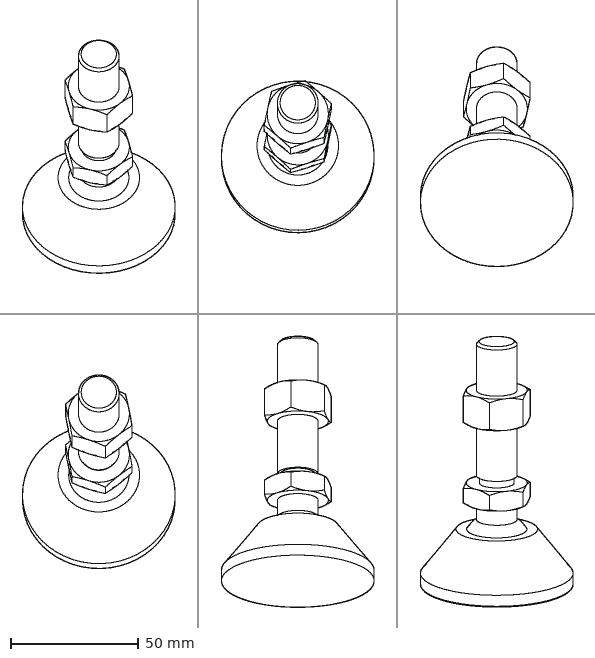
import cadquery as cq
import math

foot_diameter = 60.0
foot_radius = foot_diameter / 2
foot_top_diameter = 32.0
foot_top_z = 23.0
rim_top_z = 5.0
pad_thickness = 0.5

ball_radius = 14.0
rod_diameter = 16.0
neck_bottom_z = 27.0
stud_hex_bottom_z = 34.0
stud_hex_height = 8.0
undercut_diameter = 13.7
rod_bottom_z = 45.0
rod_top_z = 100.0
rod_tip_diameter = 13.84

across_flats = 24.0
hex_chamfer_angle = 30.0
nut_bottom_z = 67.0
nut_height = 13.0

rod_radius = rod_diameter / 2
ball_center_z = neck_bottom_z - math.sqrt(ball_radius**2 - rod_radius**2)


def cylinder(diameter, bottom_z, top_z):
    """Upright cylinder on the Z axis."""
    return cq.Workplane("XY").workplane(offset=bottom_z).circle(diameter / 2).extrude(top_z - bottom_z)


def chamfered_hexagon(bottom_z, height):
    """Hexagonal prism, corners on the Y axis, both ends turned down to a cone."""
    corner_radius = across_flats / math.sqrt(3)
    flat_radius = across_flats / 2
    drop = (corner_radius - flat_radius) * math.tan(math.radians(hex_chamfer_angle))
    prism = (
        cq.Workplane("XY")
        .workplane(offset=bottom_z)
        .transformed(rotate=(0, 0, 90))
        .polygon(6, 2 * corner_radius)
        .extrude(height)
    )
    turned_envelope = (
        cq.Workplane("XZ")
        .moveTo(0, bottom_z)
        .lineTo(flat_radius, bottom_z)
        .lineTo(corner_radius, bottom_z + drop)
        .lineTo(corner_radius, bottom_z + height - drop)
        .lineTo(flat_radius, bottom_z + height)
        .lineTo(0, bottom_z + height)
        .close()
        .revolve(360, (0, 0), (0, 1))
    )
    return prism.intersect(turned_envelope)


def make_ball():
    """Ball end of the stud; the foot socket has the same shape."""
    return cq.Workplane("XY").sphere(ball_radius).translate((0, 0, ball_center_z))


def make_pad():
    """Thin round pad under the foot; its rim is a quarter-round as high as the pad is thick."""
    return (
        cq.Workplane("XZ")
        .moveTo(0, 0)
        .lineTo(foot_radius - pad_thickness, 0)
        .radiusArc((foot_radius, pad_thickness), -pad_thickness)
        .lineTo(0, pad_thickness)
        .close()
        .revolve(360, (0, 0), (0, 1))
    )


def make_foot():
    """Turned cone with a spherical socket open at its top face."""
    body = (
        cq.Workplane("XZ")
        .moveTo(0, pad_thickness)
        .lineTo(foot_radius, pad_thickness)
        .lineTo(foot_radius, rim_top_z)
        .lineTo(foot_top_diameter / 2, foot_top_z)
        .lineTo(0, foot_top_z)
        .close()
        .revolve(360, (0, 0), (0, 1))
    )
    return body.cut(make_ball())


def make_stud():
    """Ball, neck, hexagon, undercut and rod as one piece."""
    stud_hex_top_z = stud_hex_bottom_z + stud_hex_height
    neck = cylinder(rod_diameter, ball_center_z, stud_hex_bottom_z)
    hexagon = chamfered_hexagon(stud_hex_bottom_z, stud_hex_height)
    undercut = cylinder(undercut_diameter, stud_hex_top_z, rod_bottom_z)
    tip_chamfer = (rod_diameter - rod_tip_diameter) / 2
    rod = cylinder(rod_diameter, rod_bottom_z, rod_top_z).faces(">Z").chamfer(tip_chamfer)
    return make_ball().union(neck).union(hexagon).union(undercut).union(rod)


def make_nut():
    """Loose hexagon nut whose bore fits the rod."""
    nut_top_z = nut_bottom_z + nut_height
    bore = cylinder(rod_diameter, nut_bottom_z, nut_top_z)
    return chamfered_hexagon(nut_bottom_z, nut_height).cut(bore)


pad = make_pad()
foot = make_foot()
stud = make_stud()
nut = make_nut()

result = cq.Compound.makeCompound([pad.val(), foot.val(), stud.val(), nut.val()])